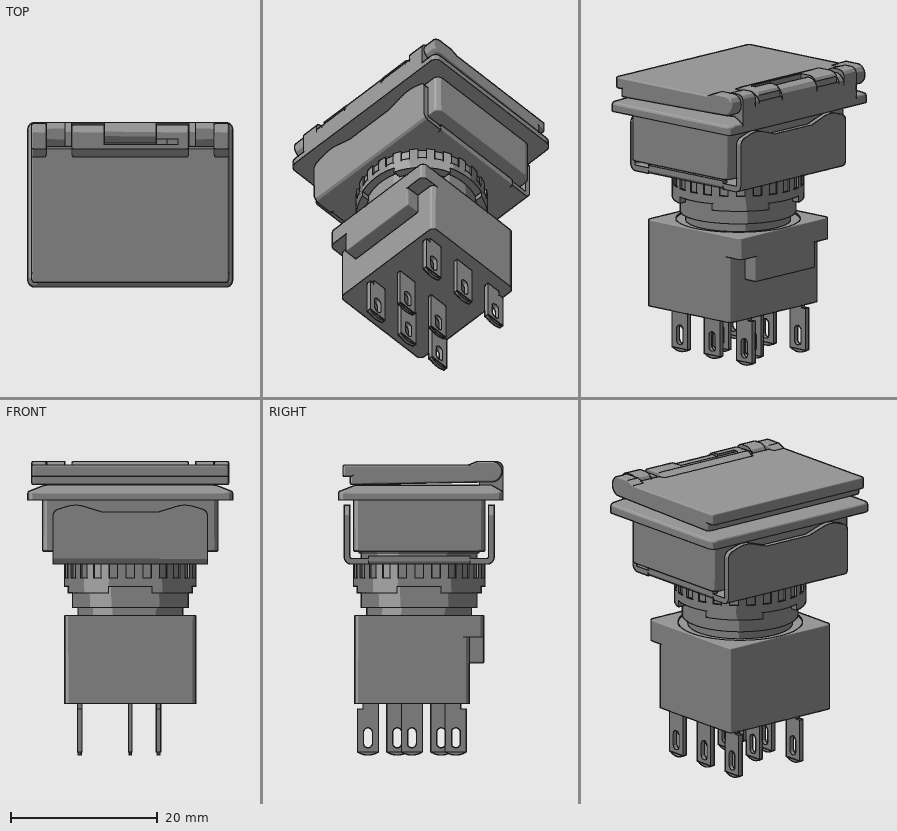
import cadquery as cq
TOL = 0.01
REACH = 50.0


bezel_width = 28.0
bezel_front = -11.04
bezel_rear = 11.46
bezel_depth = bezel_rear - bezel_front
bezel_center_y = (bezel_front + bezel_rear) / 2
bezel_rim_height = 1.15
bezel_height = 2.05
bezel_slope_run = 2.3
bezel_rear_slope_run = 1.6
bezel_corner_radius = 1.0
plateau_corner_radius = 0.2
bezel_edge_fillet = 0.4

hinge_y = 9.9
hinge_z = 3.88
lug_radius = 1.4
lug_gap = 0.05
hinge_top = hinge_z + lug_radius
hinge_front = 8.2
knuckle_inner = 8.93
knuckle_outer = 11.4
knuckle_radius = 1.3
knuckle_rear_radius = 1.0
shelf_height = 4.75
shelf_front_radius = 0.1
shelf_rear_radius = 1.5
bridge_height = 5.0
bridge_front_radius = 1.25
bridge_gap = 0.05

lid_half_width = 13.45
lid_front = -10.42
lid_body_front = -9.42
lid_top = 4.8
lid_lip_bottom = 3.2
lid_front_bottom = 2.1
lid_rear_edge = 7.86
lid_ramp_front = 6.72
lid_corner_radius = 0.45
lid_edge_fillet = 0.25
center_lug_half_width = 7.97
center_lug_rear = 11.1
outer_lug_inner = 11.45
lug_edge_fillet = 0.25
window_half_width = 3.55
window_front = 8.45
slot_end = 6.5
slot_step = 5.0
slot_rear = 9.2
slot_depth = 0.8
slot_deep_depth = 1.2

case_width = 24.0
case_depth = 18.0
case_height = 7.0
case_corner_radius = 1.0
case_bottom_fillet = 0.25
collar_radius = 8.2
collar_height = 0.2

bracket_half_width = 10.55
bracket_outer_y = 10.25
sheet = 0.8
bracket_bottom = -8.75
bend_radius = 1.0
inner_bend_radius = bend_radius - sheet
wall_peak_x = 7.45
wall_peak_z = -0.5
wall_valley_x = 3.75
wall_valley_z = -1.65
wall_corner_radius = 1.0
wall_wave_radius = 4.0
lip_half_length = 6.95
lip_top = -7.6
lip_bend_radius = 0.45

nut_radius = 9.0
nut_notch_top = -11.77
nut_bottom = -12.67
nut_slot_count = 24
nut_slot_width = 1.2
nut_slot_depth = 0.3
nut_slot_bottom = -10.6
nut_notch_width = 6.0

barrel_radius = 7.92
barrel_bottom = -14.68
neck_radius = 7.17
block_top = -15.72
block_bottom = -27.8
block_width = 17.92
block_depth = 17.64
block_corner_radius = 0.8
block_top_fillet = 0.15
block_recess_radius = 8.5
block_recess_depth = 0.2
block_step_y = 6.85
block_step_z = -18.67
tab_half_width = 6.0
tab_bottom = -22.26
tab_fillet = 0.25

terminal_width = 2.9
terminal_bottom = -34.82
tip_height = 0.45
tip_thinning = 0.2
eye_width = 1.2
eye_top = -31.1
eye_bottom = -33.8
notch_width = 0.75
notch_height = 0.7
contact_thickness = 0.65
contact_rows_x = (-6.91, 3.85)
contact_pitch = 6.0
contact_center_y = -1.0
lamp_thickness = 0.5
lamp_y = 3.0


def box(x0, x1, y0, y1, z0, z1):
    """A box between two opposite corners."""
    return cq.Workplane("XY").box(x1 - x0, y1 - y0, z1 - z0, centered=False).translate((x0, y0, z0))


def cylinder(radius, z0, z1):
    """A cylinder on the Z axis."""
    return cq.Workplane("XY").workplane(offset=z0).circle(radius).extrude(z1 - z0)


def hinge_cylinder(radius, half_length):
    """A cylinder on the hinge axis."""
    return cq.Workplane("YZ").center(hinge_y, hinge_z).circle(radius).extrude(half_length, both=True)


def rounded_rectangle(width, depth, radius):
    return cq.Sketch().rect(width, depth).vertices().fillet(radius)


def edges_at_height(z):
    """Selects the edges that lie at one height."""
    return cq.selectors.BoxSelector((-REACH, -REACH, z - TOL), (REACH, REACH, z + TOL))


def lug_outline(x):
    """Selects the ramp, flat and round of a lug at one end of it."""
    ramp_and_flat = cq.selectors.BoxSelector(
        (x - TOL, lid_ramp_front, lid_top + TOL), (x + TOL, hinge_y, hinge_top + TOL)
    )
    round_rear = cq.selectors.BoxSelector(
        (x - TOL, hinge_y, hinge_z - lug_radius / 2), (x + TOL, bezel_rear, hinge_top + TOL)
    )
    return ramp_and_flat + round_rear


def make_lid():
    profile = (
        cq.Workplane("YZ")
        .moveTo(lid_front, lid_top)
        .lineTo(lid_ramp_front, lid_top)
        .lineTo(lid_rear_edge, hinge_top)
        .lineTo(hinge_y, hinge_top)
        .threePointArc((hinge_y + lug_radius, hinge_z), (hinge_y, hinge_z - lug_radius))
        .lineTo(lid_body_front, lid_front_bottom)
        .lineTo(lid_body_front, lid_lip_bottom)
        .lineTo(lid_front, lid_lip_bottom)
        .close()
    )
    lid = profile.extrude(lid_half_width, both=True)
    lid = lid.edges("|Z").edges("<Y or >Y").fillet(lid_corner_radius)

    lid = lid.edges(edges_at_height(lid_top)).edges("<Y").fillet(lid_edge_fillet)
    lid = lid.edges(edges_at_height(lid_lip_bottom)).edges("<Y").fillet(lid_edge_fillet)

    for side in (-1, 1):
        x0, x1 = sorted((side * center_lug_half_width, side * outer_lug_inner))
        lid = lid.cut(box(x0, x1, lid_rear_edge, bezel_rear, 0, hinge_top))
        lid = lid.cut(box(x0, x1, lid_ramp_front, lid_rear_edge, lid_top, hinge_top))
        plate_edge = cq.selectors.BoxSelector(
            (x0, lid_rear_edge - TOL, lid_top - TOL), (x1, lid_rear_edge + TOL, lid_top + TOL)
        )
        lid = lid.edges(plate_edge).fillet(lid_edge_fillet)

    lid = lid.cut(box(-center_lug_half_width, center_lug_half_width, center_lug_rear, bezel_rear, 0, hinge_top))

    for lug_end in (outer_lug_inner, center_lug_half_width, lid_half_width):
        lid = lid.edges(lug_outline(-lug_end) + lug_outline(lug_end)).fillet(lug_edge_fillet)

    lid = lid.cut(box(-window_half_width, window_half_width, window_front, bezel_rear, 0, hinge_top))

    lid = lid.cut(box(window_half_width, slot_end, window_front, slot_rear, hinge_top - slot_depth, hinge_top))
    return lid.cut(
        box(window_half_width, slot_step, window_front, slot_rear, hinge_top - slot_deep_depth, hinge_top)
    )


def make_bezel():
    rim = rounded_rectangle(bezel_width, bezel_depth, bezel_corner_radius)
    plateau_depth = bezel_depth - bezel_slope_run - bezel_rear_slope_run
    plateau_shift = (bezel_slope_run - bezel_rear_slope_run) / 2
    plateau = rounded_rectangle(bezel_width - 2 * bezel_slope_run, plateau_depth, plateau_corner_radius)
    slope_height = bezel_height - bezel_rim_height
    bezel = cq.Workplane("XY").placeSketch(rim).extrude(bezel_rim_height)
    slope = (
        cq.Workplane("XY")
        .placeSketch(rim, plateau.moved(cq.Location(cq.Vector(0, plateau_shift, slope_height))))
        .loft()
        .translate((0, 0, bezel_rim_height))
    )
    bezel = bezel.union(slope).edges(edges_at_height(bezel_rim_height)).fillet(bezel_edge_fillet)
    return bezel.translate((0, bezel_center_y, 0))


def hinge_bar(half_length, top, front, rear_radius, front_radius):
    """A bar along X that stands on the bezel, with rounded top edges."""
    foot = bezel_rim_height / 2
    return (
        cq.Workplane("YZ")
        .workplane(offset=-half_length)
        .moveTo(bezel_rear, foot)
        .lineTo(bezel_rear, top - rear_radius)
        .radiusArc((bezel_rear - rear_radius, top), -rear_radius)
        .lineTo(front + front_radius, top)
        .radiusArc((front, top - front_radius), -front_radius)
        .lineTo(front, foot)
        .close()
        .extrude(2 * half_length)
    )


def make_hinge_post():
    """Two knuckles joined by a lower shelf, hollowed for the middle lug, and a bridge in its window."""
    knuckles = hinge_bar(knuckle_outer, hinge_top, hinge_front, knuckle_rear_radius, knuckle_radius)
    shelf = hinge_bar(knuckle_inner, shelf_height, hinge_front, shelf_rear_radius, shelf_front_radius)
    between = box(-knuckle_inner, knuckle_inner, hinge_front, bezel_rear, 0, hinge_top)
    post = knuckles.cut(between).union(shelf)

    lug_space_radius = lug_radius + lug_gap
    lug_space = hinge_cylinder(lug_space_radius, center_lug_half_width + lug_gap)
    lug_front = box(
        -center_lug_half_width - lug_gap, center_lug_half_width + lug_gap,
        hinge_front, hinge_y, hinge_z - lug_space_radius, hinge_top,
    )
    bridge = hinge_bar(
        window_half_width - bridge_gap, bridge_height,
        hinge_y - bridge_front_radius, shelf_rear_radius, bridge_front_radius,
    )
    return post.cut(lug_space).cut(lug_front).union(bridge)


def make_case():
    case = box(-case_width / 2, case_width / 2, -case_depth / 2, case_depth / 2, -case_height, 0)
    return case.edges("|Z").fillet(case_corner_radius).faces("<Z").edges().fillet(case_bottom_fillet)


def make_block():
    half_width = block_width / 2
    half_depth = block_depth / 2
    upper = box(-half_width, half_width, -half_depth, half_depth, block_step_z, block_top)
    lower = box(-half_width, half_width, -half_depth, block_step_y, block_bottom, block_step_z)
    block = upper.edges("|Z").fillet(block_corner_radius).union(lower.edges("|Z").fillet(block_corner_radius))
    block = block.faces(">Z").edges().fillet(block_top_fillet)
    tab = box(
        -tab_half_width, tab_half_width, block_step_y - block_corner_radius, half_depth, tab_bottom, block_step_z
    )
    tab = tab.edges("|Z and >Y").fillet(tab_fillet).faces("<Z").edges("not <Y").fillet(tab_fillet)
    recess = cylinder(block_recess_radius, block_top - block_recess_depth, block_top)
    return block.union(tab).cut(recess)


def make_terminal(x, y, thickness, notch_side=0):
    """A flat tag with an eye and a thinned round tip; notch_side is the Y side of its shoulder notch."""
    half_width = terminal_width / 2
    tip_top = terminal_bottom + tip_height
    tag = box(-thickness / 2, thickness / 2, -half_width, half_width, tip_top, block_bottom)
    tip = (
        cq.Workplane("YZ")
        .moveTo(-half_width, tip_top)
        .threePointArc((0, terminal_bottom), (half_width, tip_top))
        .close()
        .extrude((thickness - tip_thinning) / 2, both=True)
    )
    eye = (
        cq.Workplane("YZ")
        .center(0, (eye_top + eye_bottom) / 2)
        .slot2D(eye_top - eye_bottom, eye_width, 90)
        .extrude(thickness, both=True)
    )
    tag = tag.union(tip).cut(eye)
    if notch_side:
        y0, y1 = sorted((notch_side * half_width, notch_side * (half_width - notch_width)))
        tag = tag.cut(box(-thickness, thickness, y0, y1, block_bottom - notch_height, block_bottom))
    return tag.translate((x, y, 0))


def make_switch_body():
    body = make_bezel().union(make_hinge_post()).union(make_case())
    body = body.union(cylinder(collar_radius, -case_height - collar_height, -case_height))
    body = body.union(cylinder(barrel_radius, barrel_bottom, -case_height))
    body = body.union(make_block())
    body = body.union(cylinder(neck_radius, block_top - block_recess_depth, barrel_bottom))
    for x in contact_rows_x:
        for side in (-1, 0, 1):
            y = contact_center_y + side * contact_pitch
            body = body.union(make_terminal(x, y, contact_thickness, side))
    for y in (-lamp_y, lamp_y):
        body = body.union(make_terminal(0, y, lamp_thickness))
    return body


def make_bracket():
    base_top = bracket_bottom + sheet
    channel = box(
        -bracket_half_width, bracket_half_width, -bracket_outer_y, bracket_outer_y, bracket_bottom, 0
    ).edges("|X and <Z").fillet(bend_radius)
    inner_y = bracket_outer_y - sheet
    inside = box(
        -bracket_half_width, bracket_half_width, -inner_y, inner_y, base_top, 0
    ).edges("|X and <Z").fillet(inner_bend_radius)

    rise = (wall_peak_z - wall_valley_z) / (wall_peak_x - wall_valley_x)
    wall_corner_z = wall_peak_z - rise * (bracket_half_width - wall_peak_x)
    wave = (
        cq.Workplane("XZ")
        .polyline([
            (-bracket_half_width, bracket_bottom),
            (-bracket_half_width, wall_corner_z),
            (-wall_peak_x, wall_peak_z),
            (-wall_valley_x, wall_valley_z),
            (wall_valley_x, wall_valley_z),
            (wall_peak_x, wall_peak_z),
            (bracket_half_width, wall_corner_z),
            (bracket_half_width, bracket_bottom),
        ])
        .close()
        .extrude(bracket_outer_y, both=True)
    )
    wave = wave.edges("|Y").edges(edges_at_height(wall_corner_z)).fillet(wall_corner_radius)
    wave = wave.edges("|Y and >Z").fillet(wall_wave_radius)
    bracket = channel.cut(inside).intersect(wave)

    for side in (-1, 1):
        x0, x1 = sorted((side * bracket_half_width, side * (bracket_half_width - sheet)))
        lip = box(x0, x1, -lip_half_length, lip_half_length, bracket_bottom, lip_top)
        end = box(x0, x1, -lip_half_length, lip_half_length, bracket_bottom, base_top)
        outer_edge = "<X" if side < 0 else ">X"
        lip = lip.edges("|Y and <Z").edges(outer_edge).fillet(lip_bend_radius)
        bracket = bracket.cut(end).union(lip)
    return bracket.cut(cylinder(barrel_radius, bracket_bottom, base_top))


def make_nut():
    nut = cylinder(nut_radius, nut_bottom, bracket_bottom)
    half_notch = nut_notch_width / 2
    for angle in (0, 90):
        notch = box(-nut_radius, nut_radius, -half_notch, half_notch, nut_bottom, nut_notch_top)
        nut = nut.cut(notch.rotate((0, 0, 0), (0, 0, 1), angle))
    nut = nut.cut(cylinder(barrel_radius, nut_bottom, bracket_bottom))

    slot = box(
        nut_radius - nut_slot_depth, nut_radius + nut_slot_depth,
        -nut_slot_width / 2, nut_slot_width / 2, nut_slot_bottom, bracket_bottom,
    )
    for index in range(nut_slot_count):
        nut = nut.cut(slot.rotate((0, 0, 0), (0, 0, 1), index * 360 / nut_slot_count))
    return nut


lid = make_lid()
switch_body = make_switch_body()
bracket = make_bracket()
nut = make_nut()

result = cq.Compound.makeCompound([body.solids().val() for body in (lid, switch_body, bracket, nut)])